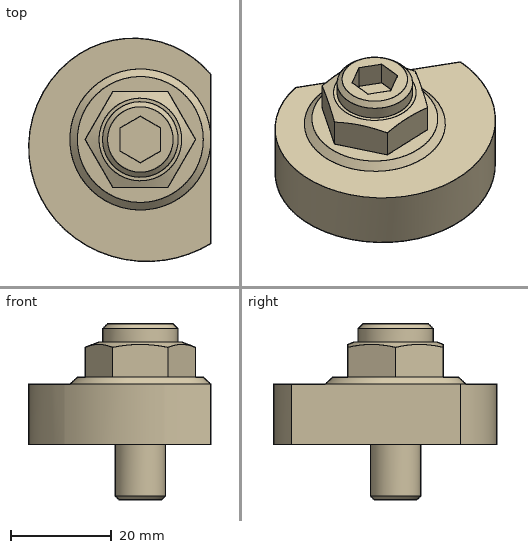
import cadquery as cq
import math

CAM_THICKNESS = 12.0
FLAT_X = 14.0
FIRST_CENTRE = (-1.38, 0.12)
FIRST_RADIUS = 20.01
LATER_ARCS = [(129.1, 22.17), (227.6, 24.13), (278.5, 24.59)]

WASHER_RADIUS = FLAT_X
WASHER_TOP_RADIUS = 12.5
WASHER_HEIGHT = 1.4

NUT_ACROSS_FLATS = 19.0
NUT_HEIGHT = 7.0
NUT_TOP_RADIUS = 8.2
NUT_CORNER_DROP = 1.1

HEAD_RADIUS = 7.5
HEAD_HEIGHT = 3.6
HEAD_CHAMFER = 1.0
SHANK_RADIUS = 5.0
SHANK_LENGTH = 11.0
SHANK_CHAMFER = 0.8

SOCKET_ACROSS_FLATS = 8.0
SOCKET_DEPTH = 5.0
CORNERS_TO_Y = 90

HEXAGON_SIDES = 6

WASHER_TOP = CAM_THICKNESS + WASHER_HEIGHT
NUT_TOP = WASHER_TOP + NUT_HEIGHT
HEAD_TOP = NUT_TOP + HEAD_HEIGHT


def hexagon_corner_diameter(across_flats):
    return across_flats / math.cos(math.pi / HEXAGON_SIDES)


def point_at(centre, radius, degrees):
    """Point on a circle in the given direction from its centre."""
    angle = math.radians(degrees)
    return (centre[0] + radius * math.cos(angle), centre[1] + radius * math.sin(angle))


def angle_on_flat(centre, radius, side):
    """Direction (0 to 360 degrees) in which an arc meets the flat; side is +1 for +Y, -1 for -Y."""
    angle = math.degrees(math.acos((FLAT_X - centre[0]) / radius))
    return (side * angle) % 360


def make_cam():
    centre = FIRST_CENTRE
    radius = FIRST_RADIUS
    start = angle_on_flat(centre, radius, 1)
    outline = cq.Workplane("XY").moveTo(*point_at(centre, radius, start))

    for joint, next_radius in LATER_ARCS:
        middle = (start + joint) / 2
        joint_point = point_at(centre, radius, joint)
        outline = outline.threePointArc(point_at(centre, radius, middle), joint_point)
        centre = point_at(joint_point, -next_radius, joint)
        radius = next_radius
        start = joint

    end = angle_on_flat(centre, radius, -1)
    middle = (start + end) / 2
    outline = outline.threePointArc(point_at(centre, radius, middle), point_at(centre, radius, end))
    return outline.close().extrude(CAM_THICKNESS)


def make_washer():
    profile = [(0, 0), (WASHER_RADIUS, 0), (WASHER_TOP_RADIUS, WASHER_HEIGHT), (0, WASHER_HEIGHT)]
    washer = cq.Workplane("XZ").polyline(profile).close().revolve(360, (0, 0), (0, 1))
    return washer.translate((0, 0, CAM_THICKNESS))


def make_nut():
    corner_diameter = hexagon_corner_diameter(NUT_ACROSS_FLATS)
    corner_radius = corner_diameter / 2
    prism = cq.Workplane("XY").polygon(HEXAGON_SIDES, corner_diameter).extrude(NUT_HEIGHT)
    envelope_profile = [
        (0, 0),
        (corner_radius, 0),
        (corner_radius, NUT_HEIGHT - NUT_CORNER_DROP),
        (NUT_TOP_RADIUS, NUT_HEIGHT),
        (0, NUT_HEIGHT),
    ]
    envelope = cq.Workplane("XZ").polyline(envelope_profile).close().revolve(360, (0, 0), (0, 1))
    return prism.intersect(envelope).translate((0, 0, WASHER_TOP))


def make_head():
    head = cq.Workplane("XY").workplane(offset=NUT_TOP).circle(HEAD_RADIUS).extrude(HEAD_HEIGHT)
    return head.faces(">Z").chamfer(HEAD_CHAMFER)


def make_shank():
    shank = cq.Workplane("XY").circle(SHANK_RADIUS).extrude(-SHANK_LENGTH)
    return shank.faces("<Z").chamfer(SHANK_CHAMFER)


def make_socket():
    corner_diameter = hexagon_corner_diameter(SOCKET_ACROSS_FLATS)
    socket = cq.Workplane("XY").polygon(HEXAGON_SIDES, corner_diameter).extrude(SOCKET_DEPTH)
    return socket.rotate((0, 0, 0), (0, 0, 1), CORNERS_TO_Y).translate((0, 0, HEAD_TOP - SOCKET_DEPTH))


body = make_cam()
for piece in (make_washer(), make_nut(), make_head(), make_shank()):
    body = body.union(piece)

result = body.cut(make_socket())